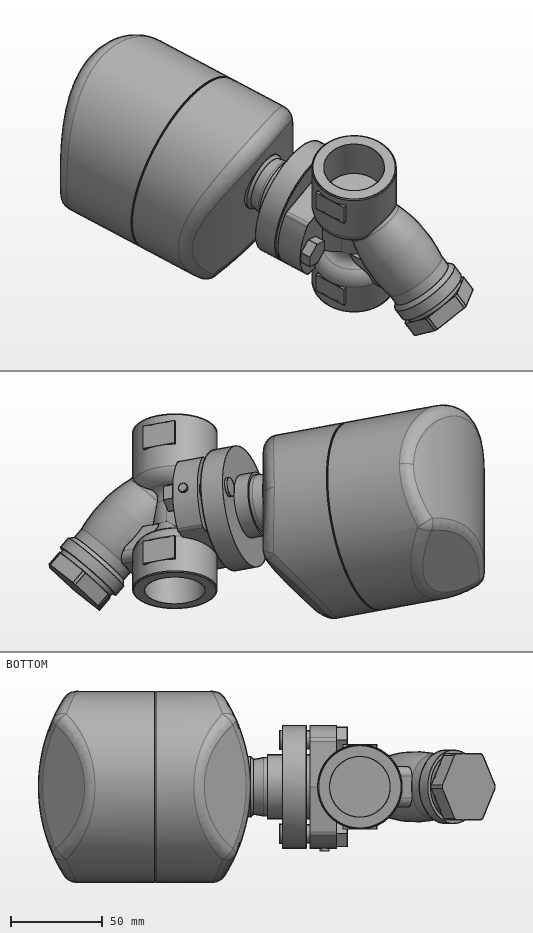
import cadquery as cq
import math


HEAD_DIA = 104.0
HEAD_LENGTH = 115.4
HEAD_LEFT = -174.9
HEAD_RIGHT = HEAD_LEFT + HEAD_LENGTH
HEAD_AXIS_Z = -19.0
HEAD_BOTTOM = HEAD_AXIS_Z - HEAD_DIA / 2
HEAD_END_RADIUS = 90.0
HEAD_BEVEL = 27.5
HEAD_MARGIN = 5.0
HEAD_EDGE_FILLET = 8.0
SEAM_OFFSET = 63.3
SEAM_WIDTH = 0.6
SEAM_DEPTH = 0.5

FLANGE_DIA = 67.0
FLANGE_LEFT = -42.1
FLANGE_RIGHT = -28.9
FLANGE_CHAMFER = 0.5
COLLAR_DIA = 35.0
COLLAR_LEFT = -50.3
NECK_DIA = 32.0
NECK_WAIST_DIA = 30.0
NECK_STEP_X = -52.3
NECK_WAIST_X = -57.8
NECK_ROOT_DIA = 33.0
NECK_ROOT_DEPTH = 5.0

BONNET_LEFT = -27.2
BONNET_RIGHT = -12.6
BONNET_RIDGE_Z = 23.4
BONNET_SIDE_Z = 20.6
BONNET_EDGE_FILLET = 3.0
BOLT_OFFSET_Y = 25.5
BOLT_DIA = 10.0
BOLT_HEAD_FLATS = 14.0
BOLT_HEAD_RIGHT = -6.8
BOLT_END_DIA = 10.5
BOLT_END_HEIGHT = 1.5
PLUG_DIA = 5.0
PLUG_X = -19.2
PLUG_TIP_Y = 35.0

PIPE_DIA = 46.0
PIPE_TOP = 53.0
PIPE_BOTTOM = -43.0
PIPE_CHAMFER = 0.6
BORE_DIA = 33.0
BORE_DEPTH = 25.0
SHOULDER_Z = 21.3
WAIST_RADIUS = 12.0
WAIST_Z = 6.5
DOME_MID_RADIUS = 21.0
DOME_MID_Z = 16.5
DOME_END_RADIUS = 17.0
DOME_END_Z = 13.5
THROAT_MID_RADIUS = 13.5
THROAT_MID_Z = 11.0
STUB_HALF_HEIGHT = 14.0
PAD_WIDTH = 18.5
PAD_HEIGHT = 13.5
PAD_DEPTH = 6.0
PAD_CENTERS_Z = (41.1, -28.6)

WEB_BOTTOM_Z = -24.2
WEB_TIP_X = 28.3
WEB_INNER_X = 18.0
WEB_START_X = 4.0
WEB_TOP_X = 20.0
WEB_HALF_WIDTH = 11.0
WEB_EDGE_FILLET = 5.0

BRANCH_ANGLE = 45.0
BRANCH_AXIS_X = 14.7
BRANCH_AXIS_Z = 14.7
BRANCH_START = -10.0
BRANCH_START_RADIUS = 14.0
BRANCH_MOUTH = -1.0
BRANCH_MOUTH_RADIUS = 15.5
BRANCH_BELLY = 19.0
BRANCH_BELLY_RADIUS = 19.1
BRANCH_END = 36.5
BRANCH_END_RADIUS = 17.75
RING_START = 42.5
RING_FULL = 45.0
RING_END = 51.5
RING_RADIUS = 20.0
GROOVE_RADIUS = 18.0
CAP_START = 54.3
CAP_END = 62.97
CAP_FLATS = 36.0
CAP_DIA = 40.6


def cylinder_x(diameter, x_start, x_end, y=0.0, z=0.0):
    """Cylinder along X between two X positions."""
    return cq.Workplane("YZ", origin=(x_start, y, z)).circle(diameter / 2).extrude(x_end - x_start)


def cylinder_z(diameter, z_start, z_end):
    """Cylinder on the pipe axis between two heights."""
    return cq.Workplane("XY", origin=(0, 0, z_start)).circle(diameter / 2).extrude(z_end - z_start)


def hexagon(plane, across_flats, length):
    """Hexagonal prism with a vertex on the local X axis of the plane."""
    return cq.Workplane(plane).polygon(6, across_flats / math.cos(math.pi / 6)).extrude(length)


def make_head():
    """Lying cylinder trimmed by bowed ends and two lower bevels, with a groove round it."""
    reach = HEAD_DIA / 2 + HEAD_MARGIN
    sagitta = HEAD_END_RADIUS - math.sqrt(HEAD_END_RADIUS**2 - reach**2)
    bowed_plan = (
        cq.Workplane("XY", origin=(0, 0, HEAD_AXIS_Z - reach))
        .moveTo(HEAD_LEFT + sagitta, -reach)
        .lineTo(HEAD_RIGHT - sagitta, -reach)
        .threePointArc((HEAD_RIGHT, 0), (HEAD_RIGHT - sagitta, reach))
        .lineTo(HEAD_LEFT + sagitta, reach)
        .threePointArc((HEAD_LEFT, 0), (HEAD_LEFT + sagitta, -reach))
        .close()
        .extrude(2 * reach)
    )
    left = HEAD_LEFT - HEAD_MARGIN
    right = HEAD_RIGHT + HEAD_MARGIN
    bottom = HEAD_BOTTOM - HEAD_MARGIN
    bevel = HEAD_BEVEL + 2 * HEAD_MARGIN
    bevelled_side = (
        cq.Workplane("XZ", origin=(0, reach, 0))
        .moveTo(left, HEAD_AXIS_Z + reach)
        .lineTo(right, HEAD_AXIS_Z + reach)
        .lineTo(right, bottom + bevel)
        .lineTo(right - bevel, bottom)
        .lineTo(left + bevel, bottom)
        .lineTo(left, bottom + bevel)
        .close()
        .extrude(2 * reach)
    )
    barrel = cylinder_x(HEAD_DIA, HEAD_LEFT, HEAD_RIGHT, z=HEAD_AXIS_Z)
    head = barrel.intersect(bowed_plan).intersect(bevelled_side)
    head = head.edges("not |X").fillet(HEAD_EDGE_FILLET)
    seam_x = HEAD_LEFT + SEAM_OFFSET
    seam_end = seam_x + SEAM_WIDTH
    seam = cylinder_x(HEAD_DIA + HEAD_MARGIN, seam_x, seam_end, z=HEAD_AXIS_Z)
    seam = seam.cut(cylinder_x(HEAD_DIA - 2 * SEAM_DEPTH, seam_x, seam_end, z=HEAD_AXIS_Z))
    return head.cut(seam)


def make_neck():
    """Turned neck leaving the head, with its collar and flange."""
    inside_head = HEAD_RIGHT - NECK_ROOT_DEPTH
    neck = (
        cq.Workplane("XZ")
        .moveTo(inside_head, 0)
        .lineTo(inside_head, NECK_ROOT_DIA / 2)
        .lineTo(HEAD_RIGHT, NECK_ROOT_DIA / 2)
        .lineTo(NECK_WAIST_X, NECK_WAIST_DIA / 2)
        .lineTo(NECK_STEP_X, NECK_DIA / 2)
        .lineTo(COLLAR_LEFT, NECK_DIA / 2)
        .lineTo(COLLAR_LEFT, 0)
        .close()
        .revolve(360, (0, 0, 0), (1, 0, 0))
    )
    collar = cylinder_x(COLLAR_DIA, COLLAR_LEFT, BONNET_LEFT)
    flange = cylinder_x(FLANGE_DIA, FLANGE_LEFT, FLANGE_RIGHT).faces(">X").chamfer(FLANGE_CHAMFER)
    return neck.union(collar).union(flange)


def make_bonnet():
    """Bar with rounded ends and a shallow ridge above and below, plus the plug on its +Y end."""
    side_y = FLANGE_DIA / 2
    bar = cylinder_x(FLANGE_DIA, BONNET_LEFT, BONNET_RIGHT)
    bar = bar.intersect(
        cq.Workplane("YZ", origin=(BONNET_LEFT, 0, 0))
        .moveTo(0, BONNET_RIDGE_Z)
        .lineTo(side_y, BONNET_SIDE_Z)
        .lineTo(side_y, -BONNET_SIDE_Z)
        .lineTo(0, -BONNET_RIDGE_Z)
        .lineTo(-side_y, -BONNET_SIDE_Z)
        .lineTo(-side_y, BONNET_SIDE_Z)
        .close()
        .extrude(BONNET_RIGHT - BONNET_LEFT)
    )
    corner_edges = bar.edges("|X and (not >Z) and (not <Z)")
    bar = corner_edges.fillet(BONNET_EDGE_FILLET)
    plug = (
        cq.Workplane("XZ", origin=(PLUG_X, PLUG_TIP_Y, 0))
        .circle(PLUG_DIA / 2)
        .extrude(PLUG_TIP_Y - BOLT_OFFSET_Y)
    )
    return bar.union(plug)


def make_bolt(y):
    """Bolt through flange and bonnet, hexagon head toward the pipe."""
    shank = cylinder_x(BOLT_DIA, FLANGE_LEFT, BONNET_RIGHT, y=y)
    end = cylinder_x(BOLT_END_DIA, FLANGE_LEFT - BOLT_END_HEIGHT, FLANGE_LEFT, y=y)
    head_plane = cq.Plane(origin=(BONNET_RIGHT, y, 0), xDir=(0, 0, 1), normal=(1, 0, 0))
    head = hexagon(head_plane, BOLT_HEAD_FLATS, BOLT_HEAD_RIGHT - BONNET_RIGHT)
    return shank.union(end).union(head)


def make_pipe():
    """Vertical pipe waisted between two domed shoulders, with the stub to the bonnet and four flat pads."""
    radius = PIPE_DIA / 2
    pipe = (
        cq.Workplane("XZ")
        .moveTo(0, PIPE_BOTTOM)
        .lineTo(radius - PIPE_CHAMFER, PIPE_BOTTOM)
        .lineTo(radius, PIPE_BOTTOM + PIPE_CHAMFER)
        .lineTo(radius, -SHOULDER_Z)
        .threePointArc((DOME_MID_RADIUS, -DOME_MID_Z), (DOME_END_RADIUS, -DOME_END_Z))
        .threePointArc((THROAT_MID_RADIUS, -THROAT_MID_Z), (WAIST_RADIUS, -WAIST_Z))
        .lineTo(WAIST_RADIUS, WAIST_Z)
        .threePointArc((THROAT_MID_RADIUS, THROAT_MID_Z), (DOME_END_RADIUS, DOME_END_Z))
        .threePointArc((DOME_MID_RADIUS, DOME_MID_Z), (radius, SHOULDER_Z))
        .lineTo(radius, PIPE_TOP - PIPE_CHAMFER)
        .lineTo(radius - PIPE_CHAMFER, PIPE_TOP)
        .lineTo(0, PIPE_TOP)
        .close()
        .revolve(360, (0, 0, 0), (0, 1, 0))
    )
    stub = cq.Workplane("XY").box(
        -BONNET_RIGHT, 2 * WAIST_RADIUS, 2 * STUB_HALF_HEIGHT, centered=(False, True, True)
    )
    pipe = pipe.union(stub.translate((BONNET_RIGHT, 0, 0)))
    for pad_z in PAD_CENTERS_Z:
        for side in (-1, 1):
            pad = cq.Workplane("XY").box(PAD_WIDTH, PAD_DEPTH, PAD_HEIGHT)
            pipe = pipe.union(pad.translate((0, side * (radius - PAD_DEPTH / 2), pad_z)))
    return pipe


def make_web():
    """Web joining the lower pipe to the underside of the branch."""
    web = (
        cq.Workplane("XZ", origin=(0, WEB_HALF_WIDTH, 0))
        .moveTo(WEB_START_X, -WAIST_Z)
        .lineTo(WEB_TOP_X, -WAIST_Z)
        .lineTo(WEB_TIP_X, WEB_BOTTOM_Z)
        .lineTo(WEB_INNER_X, WEB_BOTTOM_Z)
        .close()
        .extrude(2 * WEB_HALF_WIDTH)
    )
    return web.faces("<Z").edges("|X").fillet(WEB_EDGE_FILLET)


def branch_plane(distance):
    """Plane across the branch axis at a distance along it, local X lying in the XZ plane."""
    angle = math.radians(BRANCH_ANGLE)
    direction = (math.cos(angle), 0, -math.sin(angle))
    origin = (BRANCH_AXIS_X + distance * direction[0], 0, BRANCH_AXIS_Z + distance * direction[2])
    return cq.Plane(origin=origin, xDir=(math.sin(angle), 0, math.cos(angle)), normal=direction)


def make_branch():
    """Bellied branch with its ring, groove and hexagon cap with turned corners."""
    base = branch_plane(0)
    section = cq.Plane(origin=base.origin.toTuple(), xDir=base.xDir.toTuple(), normal=(0, 1, 0))
    turned = (
        cq.Workplane(section)
        .moveTo(0, BRANCH_START)
        .lineTo(BRANCH_START_RADIUS, BRANCH_START)
        .lineTo(BRANCH_MOUTH_RADIUS, BRANCH_MOUTH)
        .threePointArc((BRANCH_BELLY_RADIUS, BRANCH_BELLY), (BRANCH_END_RADIUS, BRANCH_END))
        .lineTo(BRANCH_END_RADIUS, RING_START)
        .lineTo(RING_RADIUS, RING_FULL)
        .lineTo(RING_RADIUS, RING_END)
        .lineTo(GROOVE_RADIUS, RING_END)
        .lineTo(GROOVE_RADIUS, CAP_START)
        .lineTo(0, CAP_START)
        .close()
        .revolve(360, (0, 0, 0), (0, 1, 0))
    )
    cap_plane = branch_plane(CAP_START)
    cap = hexagon(cap_plane, CAP_FLATS, CAP_END - CAP_START)
    cap = cap.intersect(cq.Workplane(cap_plane).circle(CAP_DIA / 2).extrude(CAP_END - CAP_START))
    return turned.union(cap)


def bore_ends(body):
    """Blind bores in both pipe ends."""
    top_bore = cylinder_z(BORE_DIA, PIPE_TOP - BORE_DEPTH, PIPE_TOP)
    bottom_bore = cylinder_z(BORE_DIA, PIPE_BOTTOM, PIPE_BOTTOM + BORE_DEPTH)
    return body.cut(top_bore).cut(bottom_bore)


valve = make_pipe().union(make_web()).union(make_branch()).union(make_bonnet())
valve = bore_ends(valve)
actuator = make_head().union(make_neck())
result = valve.union(actuator)
for bolt_y in (-BOLT_OFFSET_Y, BOLT_OFFSET_Y):
    result = result.union(make_bolt(bolt_y))